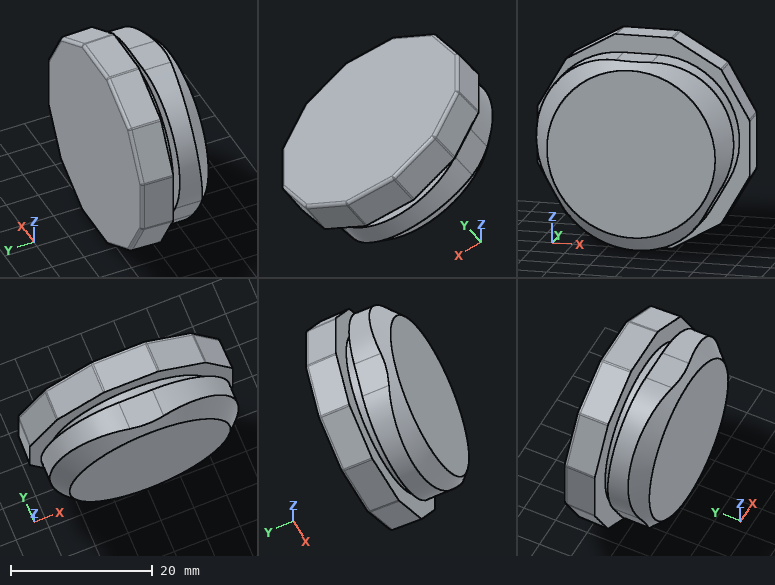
import cadquery as cq
import math


flange_sides = 12
across_flats = 30.88
flange_thickness = 5.0
flange_draft = 1.5
flange_round = 0.5

neck_diameter = 24.5
neck_length = 1.5

lobe_count = 3
lobe_offset = 2.95
lobe_radius = 11.8
head_length = 5.5
end_face_diameter = neck_diameter

end_face_y = 0.0
head_rear_y = end_face_y + head_length
flange_front_y = head_rear_y + neck_length


def plane_at(y):
    """Workplane across the axis that extrudes towards +Y; its local y axis is -Z."""
    return cq.Workplane(cq.Plane(origin=(0, y, 0), xDir=(1, 0, 0), normal=(0, 1, 0)))


def make_flange():
    """Drafted polygon with a flat on each of its four main sides and a rounded rear rim."""
    blank = (
        plane_at(flange_front_y)
        .polygon(flange_sides, across_flats, circumscribed=True)
        .extrude(flange_thickness, taper=flange_draft)
    )
    rounded_corners = blank.edges("not #Y").fillet(flange_round)
    return rounded_corners.faces(">Y").edges().fillet(flange_round)


def make_neck():
    """Round neck that reaches from the head to the flange."""
    return plane_at(head_rear_y).circle(neck_diameter / 2).extrude(neck_length)


def lobe_point(lobe_angle, normal_angle):
    """Point of a lobe's arc where the outline faces in the direction normal_angle."""
    return (
        lobe_offset * math.cos(lobe_angle) + lobe_radius * math.cos(normal_angle),
        lobe_offset * math.sin(lobe_angle) + lobe_radius * math.sin(normal_angle),
    )


def make_lobed_prism():
    """Three equal arcs joined by tangent flats; one lobe points to -Z."""
    lobe_pitch = 2 * math.pi / lobe_count
    half_pitch = lobe_pitch / 2
    first_lobe_angle = math.pi / 2
    outline = plane_at(end_face_y).moveTo(*lobe_point(first_lobe_angle, first_lobe_angle - half_pitch))
    for lobe in range(lobe_count):
        angle = first_lobe_angle + lobe * lobe_pitch
        next_angle = angle + lobe_pitch
        outline = outline.threePointArc(lobe_point(angle, angle), lobe_point(angle, angle + half_pitch))
        if lobe < lobe_count - 1:
            outline = outline.lineTo(*lobe_point(next_angle, angle + half_pitch))
    return outline.close().extrude(head_length)


def make_head():
    """Lobed prism trimmed by a 45 degree cone that leaves a round end face."""
    end_radius = end_face_diameter / 2
    cone = (
        cq.Workplane("XY")
        .moveTo(0, end_face_y)
        .lineTo(end_radius, end_face_y)
        .lineTo(end_radius + head_length, head_rear_y)
        .lineTo(0, head_rear_y)
        .close()
        .revolve(360, (0, 0, 0), (0, 1, 0))
    )
    return make_lobed_prism().intersect(cone)


result = make_head().union(make_neck()).union(make_flange())